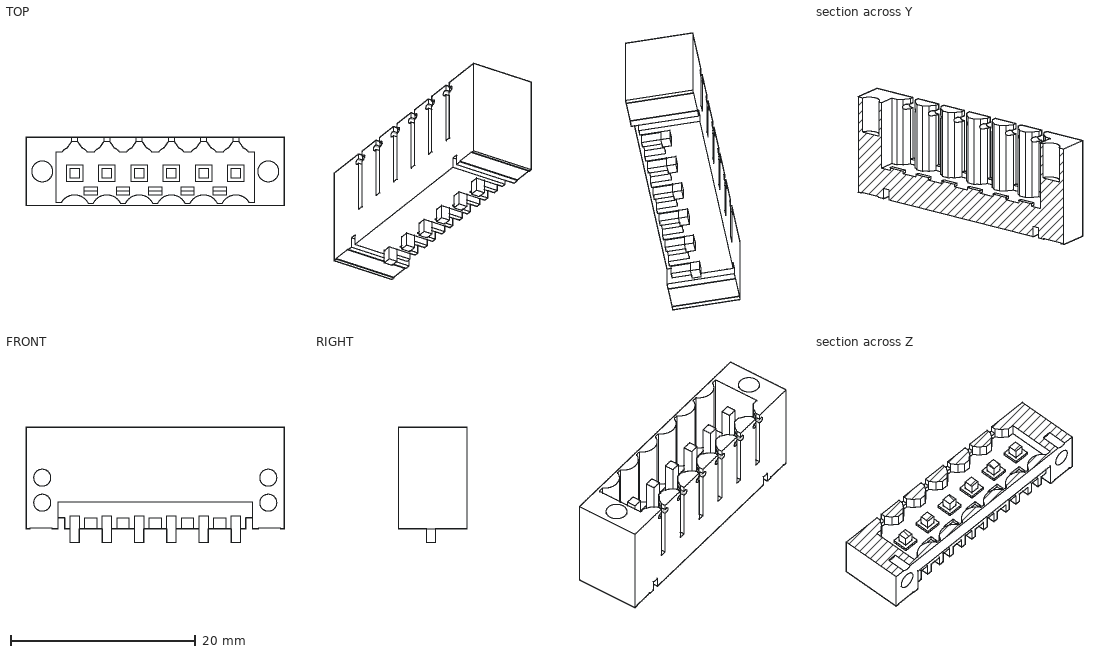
import cadquery as cq


LENGTH = 28.0
WIDTH = 7.45
HEIGHT = 11.03
PIN_COUNT = 6
PITCH = 3.5

PIN_SIZE = 1.0
PIN_Y = -0.2
PIN_TAIL = 1.5
PIN_TOP_DROP = 1.32

CAVITY_LENGTH = 21.55
CAVITY_FLOOR = 3.5
CAVITY_FRONT_WALL = 0.35
FRONT_GAP_WALL = 0.25
BACK_SLOT_WIDTH = 0.67
BACK_SLOT_FLOOR = 4.05
BACK_SLOT_DEPTH = 0.5

FRONT_SCALLOP_RADIUS = 1.65
FRONT_SCALLOP_REACH = 1.18

BACK_SCALLOP_REACH = 1.6
CREST_HALF_WIDTH = 0.4
FLANK_HALF_WIDTH = 0.95
FLANK_REACH = 1.18
HOLLOW_HALF_WIDTH = 0.65
HOLLOW_REACH = 1.35

SNAP_LENGTH = 1.75
SNAP_HEIGHT = 0.55
SNAP_DROP = 0.9

BOSS_SIZE = 1.8
BOSS_HEIGHT = 0.28
POCKET_LENGTH = 1.43
POCKET_WIDTH = 0.87
POCKET_DEPTH = 0.42
POCKET_SLOPE_WIDTH = 0.42
POCKET_FRONT = 1.18

END_HOLE_X = 12.25
TOP_HOLE_DIAMETER = 2.27
TOP_HOLE_DEPTH = 3.92
FRONT_HOLE_DIAMETER = 1.85
FRONT_HOLE_DEPTH = 2.25
FRONT_HOLE_HEIGHTS = (2.83, 5.55)

RECESS_LENGTH = 21.05
RECESS_HEIGHT = 2.88
RECESS_DEPTH = 0.7
COMB_LENGTH = 19.65
COMB_HEIGHT = 1.18
COMB_NOTCH_WIDTH = 1.32
PIN_NOTCH_HEIGHT = 1.37
FOOT_GROOVE_X = 12.4
FOOT_GROOVE_WIDTH = 2.35
FOOT_GROOVE_HEIGHT = 0.08

FRONT = -WIDTH / 2
BACK = WIDTH / 2
PIN_FRONT = PIN_Y - PIN_SIZE / 2
CAVITY_DEPTH = HEIGHT - CAVITY_FLOOR
BACK_SLOT_FRONT = BACK - BACK_SLOT_DEPTH
PIN_XS = [(i - (PIN_COUNT - 1) / 2) * PITCH for i in range(PIN_COUNT)]
GAP_XS = [(i - (PIN_COUNT - 2) / 2) * PITCH for i in range(PIN_COUNT - 1)]
BACK_SCALLOP_XS = [GAP_XS[0] - PITCH, *GAP_XS, GAP_XS[-1] + PITCH]


def block(x_mid, x_size, y_min, y_max, z_min, z_max):
    """Upright box, centred on x_mid along X and given by its limits along Y and Z."""
    return (
        cq.Workplane("XY")
        .box(x_size, y_max - y_min, z_max - z_min, centered=(True, False, False))
        .translate((x_mid, y_min, z_min))
    )


def front_scallop(x_mid):
    """Round column that bulges from the front wall into the cavity."""
    y_mid = FRONT + FRONT_SCALLOP_REACH - FRONT_SCALLOP_RADIUS
    return (
        cq.Workplane("XY", origin=(x_mid, y_mid, CAVITY_FLOOR))
        .circle(FRONT_SCALLOP_RADIUS)
        .extrude(CAVITY_DEPTH)
    )


def back_scallop(x_mid):
    """Column on the back wall: flat crest, hollow shoulders and straight flanks."""
    root = (PITCH - BACK_SLOT_WIDTH) / 2
    flank_y = BACK - FLANK_REACH
    hollow_y = BACK - HOLLOW_REACH
    crest_y = BACK - BACK_SCALLOP_REACH
    return (
        cq.Workplane("XY", origin=(x_mid, 0, CAVITY_FLOOR))
        .moveTo(-root, BACK)
        .lineTo(-root, BACK_SLOT_FRONT)
        .lineTo(-FLANK_HALF_WIDTH, flank_y)
        .threePointArc((-HOLLOW_HALF_WIDTH, hollow_y), (-CREST_HALF_WIDTH, crest_y))
        .lineTo(CREST_HALF_WIDTH, crest_y)
        .threePointArc((HOLLOW_HALF_WIDTH, hollow_y), (FLANK_HALF_WIDTH, flank_y))
        .lineTo(root, BACK_SLOT_FRONT)
        .lineTo(root, BACK)
        .close()
        .extrude(CAVITY_DEPTH)
    )


def plug_cavity():
    """Space for the plug, with the scallops left standing along both long walls."""
    cavity = block(0, CAVITY_LENGTH, FRONT + CAVITY_FRONT_WALL, BACK_SLOT_FRONT, CAVITY_FLOOR, HEIGHT)
    for x in GAP_XS:
        cavity = cavity.union(block(x, PITCH / 2, FRONT + FRONT_GAP_WALL, 0, CAVITY_FLOOR, HEIGHT))
    for x in PIN_XS:
        cavity = cavity.cut(front_scallop(x))
    for x in BACK_SCALLOP_XS:
        cavity = cavity.cut(back_scallop(x))
    return cavity


def back_slot(x_mid):
    """Slot through the back wall, open at the rim."""
    return block(x_mid, BACK_SLOT_WIDTH, BACK_SLOT_FRONT, BACK, BACK_SLOT_FLOOR, HEIGHT)


def snap_groove(x_mid):
    """Round-ended groove along Y that cuts into the scallops beside a back slot."""
    return (
        cq.Workplane("XZ", origin=(x_mid, BACK, HEIGHT - SNAP_DROP))
        .slot2D(SNAP_LENGTH, SNAP_HEIGHT)
        .extrude(BACK_SCALLOP_REACH)
    )


def floor_boss(x_mid):
    """Square pad around a pin on the cavity floor."""
    half = BOSS_SIZE / 2
    return block(x_mid, BOSS_SIZE, PIN_Y - half, PIN_Y + half, CAVITY_FLOOR, CAVITY_FLOOR + BOSS_HEIGHT)


def floor_pocket(x_mid):
    """Pocket between two pins, with its front wall sloping down to a flat bottom."""
    y_front = FRONT + POCKET_FRONT
    bottom = CAVITY_FLOOR - POCKET_DEPTH
    return (
        cq.Workplane("YZ", origin=(x_mid - POCKET_LENGTH / 2, 0, 0))
        .moveTo(y_front, CAVITY_FLOOR)
        .lineTo(y_front + POCKET_SLOPE_WIDTH, bottom)
        .lineTo(y_front + POCKET_WIDTH, bottom)
        .lineTo(y_front + POCKET_WIDTH, CAVITY_FLOOR)
        .close()
        .extrude(POCKET_LENGTH)
    )


def end_block_cuts(x_mid):
    """Blind mounting holes and the shallow foot groove of one end block."""
    side = 1 if x_mid > 0 else -1
    cuts = (
        cq.Workplane("XY", origin=(x_mid, 0, HEIGHT))
        .circle(TOP_HOLE_DIAMETER / 2)
        .extrude(-TOP_HOLE_DEPTH)
    )
    for z in FRONT_HOLE_HEIGHTS:
        hole = (
            cq.Workplane("XZ", origin=(x_mid, FRONT, z))
            .circle(FRONT_HOLE_DIAMETER / 2)
            .extrude(-FRONT_HOLE_DEPTH)
        )
        cuts = cuts.union(hole)
    return cuts.union(block(side * FOOT_GROOVE_X, FOOT_GROOVE_WIDTH, FRONT, BACK, 0, FOOT_GROOVE_HEIGHT))


def underside_cuts():
    """Front recess, open gaps at both ends of the comb, and the comb notches."""
    cuts = block(0, RECESS_LENGTH, FRONT, FRONT + RECESS_DEPTH, 0, RECESS_HEIGHT)
    gap_width = (RECESS_LENGTH - COMB_LENGTH) / 2
    gap_x = (RECESS_LENGTH + COMB_LENGTH) / 4
    for x in (-gap_x, gap_x):
        cuts = cuts.union(block(x, gap_width, FRONT, BACK, 0, COMB_HEIGHT))
    for x in GAP_XS:
        cuts = cuts.union(block(x, COMB_NOTCH_WIDTH, FRONT, PIN_FRONT, 0, COMB_HEIGHT))
    for x in PIN_XS:
        cuts = cuts.union(block(x, PIN_SIZE, FRONT, PIN_FRONT, 0, PIN_NOTCH_HEIGHT))
    return cuts


def make_pin(x_mid):
    """Straight square contact pin."""
    return block(x_mid, PIN_SIZE, PIN_FRONT, PIN_FRONT + PIN_SIZE, -PIN_TAIL, HEIGHT - PIN_TOP_DROP)


def make_housing():
    """Housing with its cavity, mounting holes, underside comb and pin holes."""
    housing = block(0, LENGTH, FRONT, BACK, 0, HEIGHT)
    housing = housing.cut(plug_cavity())
    for x in PIN_XS:
        housing = housing.cut(back_slot(x)).cut(snap_groove(x))
        housing = housing.union(floor_boss(x))
    for x in GAP_XS:
        housing = housing.cut(floor_pocket(x))
    for x in (-END_HOLE_X, END_HOLE_X):
        housing = housing.cut(end_block_cuts(x))
    housing = housing.cut(underside_cuts())
    for x in PIN_XS:
        housing = housing.cut(make_pin(x))
    return housing


housing = make_housing()
pins = [make_pin(x) for x in PIN_XS]

result = cq.Compound.makeCompound([housing.val(), *[pin.val() for pin in pins]])